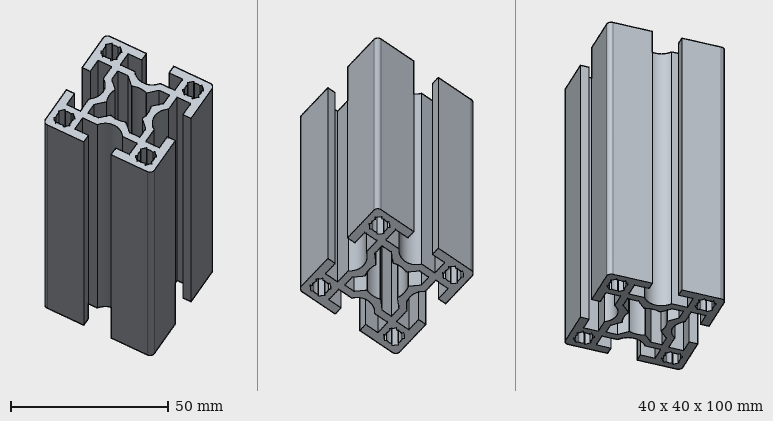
import cadquery as cq


length = 100.0
side = 40.0
corner_radius = 1.6
half_side = side / 2

slot_opening = 10.0
lip_thickness = 3.0
slot_width = 20.0
slot_depth = 8.0
groove_width = 9.2
groove_depth = 2.5

cavity_half = 9.5
wall_bump_half_base = 5.7
wall_bump_height = 2.9
bore_radius = 7.1

hole_offset = 15.0
hole_radius = 2.7
relief_length = 6.4
relief_width = 2.1


def make_bar():
    bar = cq.Workplane("XY").box(side, side, length)
    return bar.edges("|Z").fillet(corner_radius)


def make_slot():
    """T-slot on the +Y side, with a shallow round groove in its floor."""
    lip = half_side - lip_thickness
    floor = half_side - slot_depth
    return (
        cq.Workplane("XY")
        .moveTo(-slot_opening / 2, half_side)
        .lineTo(-slot_opening / 2, lip)
        .lineTo(-slot_width / 2, lip)
        .lineTo(-slot_width / 2, floor)
        .lineTo(-groove_width / 2, floor)
        .threePointArc((0, floor - groove_depth), (groove_width / 2, floor))
        .lineTo(slot_width / 2, floor)
        .lineTo(slot_width / 2, lip)
        .lineTo(slot_opening / 2, lip)
        .lineTo(slot_opening / 2, half_side)
        .close()
        .extrude(length / 2, both=True)
    )


def make_wall_bump():
    """Trapezoid with 45 degree flanks that backs the groove of the +Y slot."""
    tip = cavity_half - wall_bump_height
    half_tip = wall_bump_half_base - wall_bump_height
    return (
        cq.Workplane("XY")
        .polyline([
            (-wall_bump_half_base, cavity_half),
            (-half_tip, tip),
            (half_tip, tip),
            (wall_bump_half_base, cavity_half),
        ])
        .close()
        .extrude(length / 2, both=True)
    )


def four_sides(shape):
    """Yield the shape turned to each of the four sides."""
    for quarter in range(4):
        yield shape.rotate((0, 0, 0), (0, 0, 1), 90 * quarter)


def make_cavity():
    """Square cavity narrowed by four wall bumps, whose tips a round bore trims."""
    cavity = cq.Workplane("XY").box(2 * cavity_half, 2 * cavity_half, length)
    for bump in four_sides(make_wall_bump()):
        cavity = cavity.cut(bump)
    bore = cq.Workplane("XY").circle(bore_radius).extrude(length / 2, both=True)
    return cavity.union(bore)


def make_screw_hole():
    """Screw hole in the +X +Y corner."""
    hole = cq.Workplane("XY").circle(hole_radius).extrude(length / 2, both=True)
    relief = cq.Workplane("XY").box(relief_length, relief_width, length)
    for angle in (45, 135):
        hole = hole.union(relief.rotate((0, 0, 0), (0, 0, 1), angle))
    return hole.translate((hole_offset, hole_offset, 0))


result = make_bar().cut(make_cavity())
for feature in (make_slot(), make_screw_hole()):
    for cutter in four_sides(feature):
        result = result.cut(cutter)